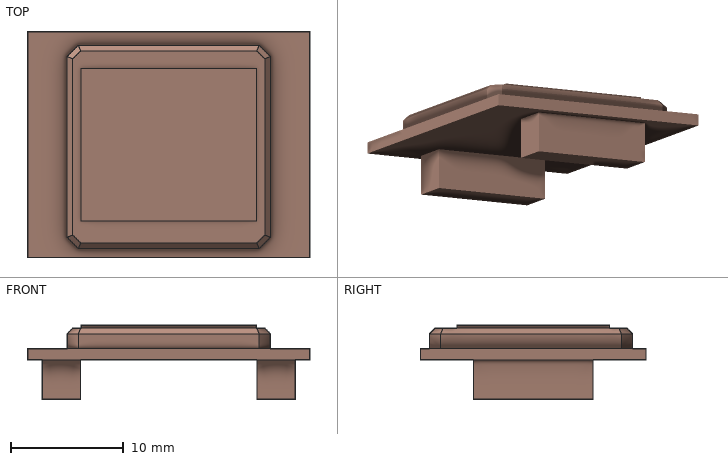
import cadquery as cq

plate_length = 25.0
plate_width = 20.0
plate_thickness = 1.0

cover_side = 18.0
cover_height = 1.8
cover_offset_y = -0.2
cover_corner_cut = 1.0
cover_top_bevel = 0.5

pad_length = 15.5
pad_width = 13.5
pad_thickness = 0.28

foot_length = 3.4
foot_width = 10.6
foot_height = 3.5
foot_spacing = 19.0

cover_top = plate_thickness + cover_height


def block(length, width, height, base_z, x=0.0, y=0.0):
    """Box centred on (x, y) that rises from base_z."""
    box = cq.Workplane("XY").box(length, width, height, centered=(True, True, False))
    return box.translate((x, y, base_z))


def make_cover():
    """Cover block with cut vertical corners, then a bevel around the top."""
    cover = block(cover_side, cover_side, cover_height, plate_thickness, y=cover_offset_y)
    cover = cover.edges("|Z").chamfer(cover_corner_cut)
    return cover.faces(">Z").edges().chamfer(cover_top_bevel)


def make_foot(side):
    """Foot under the plate, on the -X (side = -1) or +X (side = 1) half."""
    return block(foot_length, foot_width, foot_height, -foot_height, x=side * foot_spacing / 2)


result = block(plate_length, plate_width, plate_thickness, 0.0)
result = result.union(make_cover())
result = result.union(block(pad_length, pad_width, pad_thickness, cover_top))
for side in (-1, 1):
    result = result.union(make_foot(side))